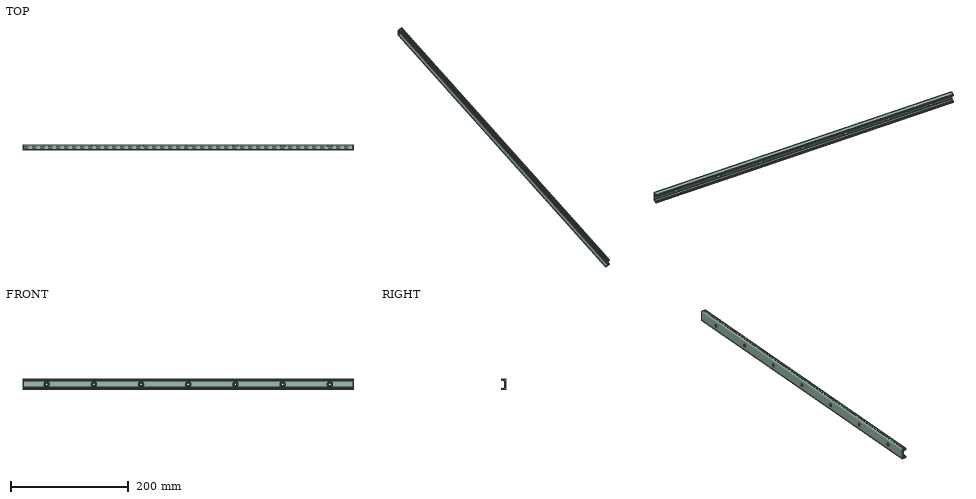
import cadquery as cq
import math

length = 560.0
depth = 8.25
height = 18.0

web_thickness = 2.8
web_face_half_height = 5.65
outer_corner_radius = 0.3

flange_thickness = 1.7
groove_wall_angle = 35.0
groove_front = 2.0

lip_height = 2.75
lip_chamfer = 0.75

scribe_z = -4.8
scribe_width = 0.2

hole_count = 7
hole_pitch = 80.0
hole_diameter = 4.5
countersink_diameter = 9.2
countersink_angle = 90.0

half_length = length / 2
half_height = height / 2
front_y = -depth / 2
back_y = depth / 2
web_face_y = back_y - web_thickness


def make_rail():
    """Extrude the C section, with its grooved flanges, along X."""
    groove_z = half_height - flange_thickness
    lip_z = half_height - lip_height
    wall_run = (groove_z - web_face_half_height) / math.tan(math.radians(groove_wall_angle))
    groove_front_y = front_y + groove_front
    lip_wall_run = lip_height - flange_thickness
    upper_half = [
        (back_y, half_height),
        (front_y, half_height),
        (front_y, lip_z + lip_chamfer),
        (front_y + lip_chamfer, lip_z),
        (groove_front_y - lip_wall_run, lip_z),
        (groove_front_y, groove_z),
        (web_face_y - wall_run, groove_z),
        (web_face_y, web_face_half_height),
    ]
    lower_half = [(y, -z) for y, z in reversed(upper_half)]
    section = cq.Workplane("YZ").polyline(upper_half + lower_half).close()
    rail = section.extrude(half_length, both=True)
    outer_corners = rail.faces("<Z or >Z").edges("|X")
    return outer_corners.fillet(outer_corner_radius)


def cut_scribe_line(rail):
    """Cut a 90-degree V groove along the whole web face."""
    half_width = scribe_width / 2
    profile = [
        (web_face_y, scribe_z - half_width),
        (web_face_y, scribe_z + half_width),
        (web_face_y + half_width, scribe_z),
    ]
    groove = cq.Workplane("YZ").polyline(profile).close().extrude(half_length, both=True)
    return rail.cut(groove)


def drill_mounting_holes(rail):
    """Drill the row of holes through the web, countersunk on the open side."""
    first_x = -hole_pitch * (hole_count - 1) / 2
    centres = [(first_x + i * hole_pitch, 0) for i in range(hole_count)]
    web_face = cq.Workplane("XZ", origin=(0, web_face_y, 0))
    return rail.copyWorkplane(web_face).pushPoints(centres).cskHole(
        hole_diameter, countersink_diameter, countersink_angle
    )


result = drill_mounting_holes(cut_scribe_line(make_rail()))